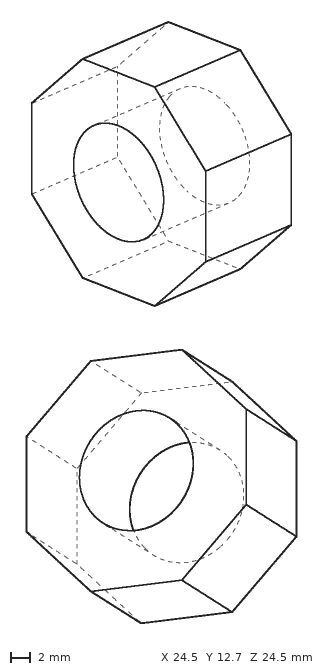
import cadquery as cq
import math

across_flats = 24.53
thickness = 12.7
bore_diameter = 12.7

side_count = 8
half_side_angle = 180.0 / side_count
across_corners = across_flats / math.cos(math.radians(half_side_angle))

body = (
    cq.Workplane("XZ")
    .transformed(rotate=(0, 0, half_side_angle))
    .polygon(side_count, across_corners)
    .extrude(thickness / 2, both=True)
)

bore = cq.Workplane("XZ").circle(bore_diameter / 2).extrude(thickness / 2, both=True)

result = body.cut(bore)